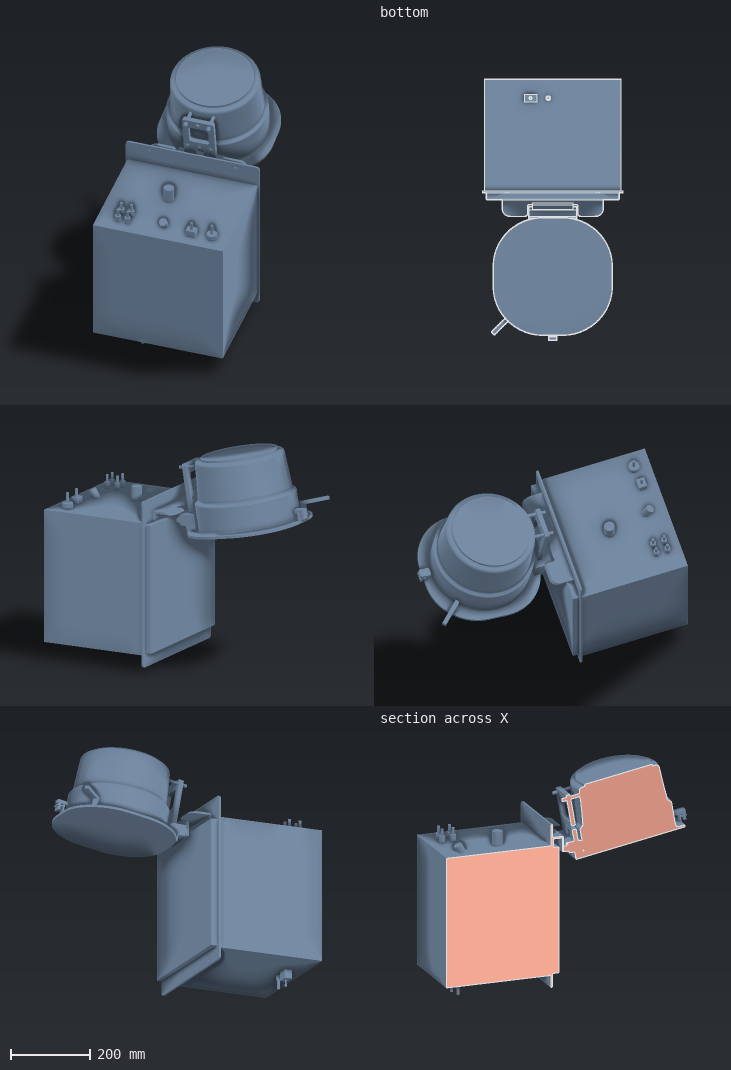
import cadquery as cq
import math


CASE_SIDE = 345.5
CASE_DEPTH = 283.0
PLATE_WIDTH = 355.5
PLATE_HEIGHT = 433.5
PLATE_THICK = 5.0
PLATE_BOTTOM = -32.0
PLATE_CORNER_R = 9.0
PLATE_HOLE_DIA = 6.0
PLATE_HOLE_X = 115.0
PLATE_HOLE_LEVELS = (-18.0, 389.0)
PANEL_MARGIN = 4.5
PANEL_THICK = 17.0
PANEL_EDGE_R = 2.0

PLATE_REAR = PLATE_THICK
PANEL_SIDE = CASE_SIDE - 2 * PANEL_MARGIN
PANEL_TOP = CASE_SIDE - PANEL_MARGIN

BRACKET_WIDTH = 256.0
BRACKET_BOTTOM = 362.0
BRACKET_THICK = 5.0
BRACKET_REACH = 65.0
BRACKET_BEVEL = 6.0
LOBE_OUTER_R = 20.5
LOBE_INNER_R = 7.0
SLOT_WIDTH = 127.0
SLOT_FRONT = 35.0
SLOT_CORNER_R = 4.0
TAB_THICK = 4.0
TAB_BOTTOM = 325.0
BACK_FLANGE_THICK = 2.5

BRACKET_TOP = BRACKET_BOTTOM + BRACKET_THICK
LOBE_LENGTH = BRACKET_REACH - SLOT_FRONT

SMALL_FITTING_X = (-117.5, -92.0)
SMALL_FITTING_Y = (-217.0, -246.5)
SMALL_FITTING_DIA = 15.0
SMALL_FITTING_HEIGHT = 18.0
STEM_DIA = 7.0
SMALL_STEM_TOP = 36.5

CHIMNEY_X = -22.5
CHIMNEY_Y = -123.5
CHIMNEY_DIA = 26.5
CHIMNEY_HEIGHT = 37.5

SPOUT_Y = -228.0
SPOUT_DIA = 21.0
SPOUT_TILT = 30
SPOUT_LENGTH = 23.0

SQUARE_FITTING_X = 76.5
SQUARE_FITTING_Y = -242.5
SQUARE_FITTING_SIZE = (26.0, 21.0, 18.0)
SQUARE_STEM_TOP = 38.0

ROUND_FITTING_X = 129.5
ROUND_FITTING_Y = -239.0
ROUND_FITTING_DIA = 28.0
ROUND_FITTING_HEIGHT = 14.0
ROUND_STEM_TOP = 40.0

FLOOR_FITTING_Y = -234.5
DRAIN_X = -56.0
DRAIN_SIZE = (32.0, 19.0, 23.0)
DRAIN_STEM_DIA = 4.0
DRAIN_TIP_DIA = 7.0
DRAIN_TIP_TOP = 34.5
DRAIN_DEPTH = 41.5
PLUG_X = -11.0
PLUG_DIA = 12.0
PLUG_DEPTH = 11.0
PLUG_STEM_DEPTH = 36.0

LID_TILT = 10
LID_CENTER = (0, 217.0, 326.5)

RIM_SIDE = 302.0
RIM_CORNER_R = 126.0
RIM_THICK = 6.5

POT_LOWER_R = 130.0
POT_FOOT_FILLET = 7.0
SHOULDER_BOTTOM = 73.0
SHOULDER_RISE = 16.0
SHOULDER_BAND = 2.5
NECK_R = 121.0
POT_TOP_R = 115.0
POT_TOP = 185.5
POT_TOP_FILLET = 10.0
CAP_R = 99.0
CAP_HEIGHT = 5.0

ARM_WIDTH = 84.0
ARM_THICK = 12.0
ARM_FRONT = -147.0
ARM_BOTTOM = 46.0
ARM_TOP = 176.5
ARM_CORNER_R = 6.0
WINDOW_WIDTH = 53.0
WINDOW_BOTTOM = 100.5
WINDOW_TOP = 151.0
WINDOW_CORNER_R = 6.5
NOTCH_WIDTH = 20.0
NOTCH_TOP = 74.5
ARM_HOLE_DIA = 9.0
ARM_LOWER_HOLE_LEVEL = 86.0
ARM_PIN_X = 30.5
ARM_PIN_DIA = 9.0
ARM_PIN_LEVEL = 166.5
ARM_PIN_FRONT = -160.5

GRIP_TOP = 36.5
GRIP_THICK = 8.5
HANDLE_INNER = 137.0
HANDLE_LEG_OUTER = 151.0
HANDLE_REACH = 214.0
HANDLE_WIDTH = 10.5
HANDLE_ANGLE = 45
LATCH_WIDTH = 21.0
LATCH_BAR_Y = (138.0, 167.0)
LATCH_BAR_CORNER_R = 5.0
LATCH_POST_Y = (146.5, 150.5)
LATCH_STRAP_Z = (20.0, 23.0)
LATCH_HOOK_Y = (157.0, 164.0)
LATCH_HOOK_BOTTOM = 10.0

HINGE_WIDTH = 121.5
HINGE_ROOT = ((90.5, 309.0), (85.0, 349.0), (80.0, 351.5))
HINGE_LIP_TOP = 349.0
HINGE_LIP_BOTTOM = 345.0
HINGE_LIP_FRONT = 41.0
HINGE_FRONT = 48.0
HINGE_NOSE_BOTTOM = 320.5
HINGE_HEEL = ((64.0, HINGE_NOSE_BOTTOM), (68.0, 304.0))
BARREL_Y = 50.0
BARREL_Z = 335.0
BARREL_DIA = 21.0
SPACER_WIDTH = 102.5
SPACER_TOP = 341.0


def centered_block(width, y_range, z_range):
    """Box of the given width, symmetric about X = 0, between the given limits in Y and Z."""
    (y0, y1), (z0, z1) = y_range, z_range
    box = cq.Workplane("XY").box(width, y1 - y0, z1 - z0, centered=(True, False, False))
    return box.translate((0, y0, z0))


def rod(x, y, dia, z0, z1):
    """Vertical cylinder between two heights."""
    return cq.Workplane("XY", origin=(x, y, z0)).circle(dia / 2).extrude(z1 - z0)


def rod_along_y(x, z, dia, y0, y1):
    """Cylinder parallel to Y, from y0 back to y1."""
    return cq.Workplane("XZ", origin=(x, y0, z)).circle(dia / 2).extrude(y0 - y1)


def make_case():
    case = centered_block(CASE_SIDE, (-CASE_DEPTH, 0), (0, CASE_SIDE))
    plate = centered_block(PLATE_WIDTH, (0, PLATE_REAR), (PLATE_BOTTOM, PLATE_BOTTOM + PLATE_HEIGHT))
    plate = plate.edges("|Y").fillet(PLATE_CORNER_R)
    for x in (-PLATE_HOLE_X, PLATE_HOLE_X):
        for z in PLATE_HOLE_LEVELS:
            plate = plate.cut(rod_along_y(x, z, PLATE_HOLE_DIA, 0, PLATE_REAR))
    panel = centered_block(PANEL_SIDE, (PLATE_REAR, PLATE_REAR + PANEL_THICK), (PANEL_MARGIN, PANEL_TOP))
    panel = panel.edges("|Y or >Y").fillet(PANEL_EDGE_R)
    return case.union(plate).union(panel)


def lobe_section(rear, z):
    """Face of one lobe, reaching back from the slot front by the length of the lobe."""
    front = rear - LOBE_LENGTH
    inner = SLOT_WIDTH / 2
    outer = BRACKET_WIDTH / 2
    return (
        cq.Workplane("XY", origin=(0, 0, z))
        .moveTo(inner, front)
        .lineTo(outer, front)
        .lineTo(outer, rear - LOBE_OUTER_R)
        .radiusArc((outer - LOBE_OUTER_R, rear), -LOBE_OUTER_R)
        .lineTo(inner + LOBE_INNER_R, rear)
        .radiusArc((inner, rear - LOBE_INNER_R), -LOBE_INNER_R)
        .close()
        .val()
    )


def make_bracket():
    """Sheet with two rounded lobes beside a slot, a tab bent down at the slot and a flange on the plate."""
    lower_section = lobe_section(BRACKET_REACH, BRACKET_BOTTOM)
    upper_section = lobe_section(BRACKET_REACH - BRACKET_BEVEL, BRACKET_TOP)
    lobe = cq.Workplane(cq.Solid.makeLoft([lower_section, upper_section], True))
    sheet = centered_block(BRACKET_WIDTH, (PLATE_REAR, SLOT_FRONT), (BRACKET_BOTTOM, BRACKET_TOP))
    sheet = sheet.union(lobe).union(lobe.mirror("YZ"))
    corner_margin = BRACKET_THICK / 4
    slot_corners = cq.selectors.BoxSelector(
        (-SLOT_WIDTH, SLOT_FRONT - corner_margin, BRACKET_BOTTOM + corner_margin),
        (SLOT_WIDTH, SLOT_FRONT + corner_margin, BRACKET_TOP - corner_margin),
    )
    sheet = sheet.edges(slot_corners).fillet(SLOT_CORNER_R)
    tab = centered_block(SPACER_WIDTH, (SLOT_FRONT - TAB_THICK, SLOT_FRONT), (TAB_BOTTOM, BRACKET_BOTTOM))
    back_flange = centered_block(
        BRACKET_WIDTH, (PLATE_REAR, PLATE_REAR + BACK_FLANGE_THICK), (PANEL_TOP, BRACKET_BOTTOM)
    )
    return sheet.union(tab).union(back_flange)


def make_roof_fittings():
    roof = CASE_SIDE
    fittings = rod(CHIMNEY_X, CHIMNEY_Y, CHIMNEY_DIA, roof, roof + CHIMNEY_HEIGHT)

    for x in SMALL_FITTING_X:
        for y in SMALL_FITTING_Y:
            fittings = fittings.union(rod(x, y, SMALL_FITTING_DIA, roof, roof + SMALL_FITTING_HEIGHT))
            fittings = fittings.union(rod(x, y, STEM_DIA, roof, roof + SMALL_STEM_TOP))

    square = cq.Workplane("XY").box(*SQUARE_FITTING_SIZE, centered=(True, True, False))
    fittings = fittings.union(square.translate((SQUARE_FITTING_X, SQUARE_FITTING_Y, roof)))
    fittings = fittings.union(
        rod(SQUARE_FITTING_X, SQUARE_FITTING_Y, STEM_DIA, roof, roof + SQUARE_STEM_TOP)
    )

    fittings = fittings.union(
        rod(ROUND_FITTING_X, ROUND_FITTING_Y, ROUND_FITTING_DIA, roof, roof + ROUND_FITTING_HEIGHT)
    )
    fittings = fittings.union(rod(ROUND_FITTING_X, ROUND_FITTING_Y, STEM_DIA, roof, roof + ROUND_STEM_TOP))

    spout = rod(0, 0, SPOUT_DIA, -SPOUT_DIA, SPOUT_LENGTH)
    spout = spout.rotate((0, 0, 0), (1, 0, 0), SPOUT_TILT).translate((0, SPOUT_Y, roof))
    return fittings.union(spout)


def make_floor_fittings():
    drain = cq.Workplane("XY").box(*DRAIN_SIZE, centered=(True, True, False))
    drain = drain.translate((DRAIN_X, FLOOR_FITTING_Y, -DRAIN_SIZE[2]))
    drain = drain.union(rod(DRAIN_X, FLOOR_FITTING_Y, DRAIN_STEM_DIA, -DRAIN_DEPTH, 0))
    drain = drain.union(rod(DRAIN_X, FLOOR_FITTING_Y, DRAIN_TIP_DIA, -DRAIN_DEPTH, -DRAIN_TIP_TOP))
    plug = rod(PLUG_X, FLOOR_FITTING_Y, PLUG_DIA, -PLUG_DEPTH, 0)
    plug = plug.union(rod(PLUG_X, FLOOR_FITTING_Y, STEM_DIA, -PLUG_STEM_DEPTH, 0))
    return drain.union(plug)


def make_housing():
    housing = make_case().union(make_bracket())
    return housing.union(make_roof_fittings()).union(make_floor_fittings())


def make_pot():
    """Square rim with large corners, and the stepped round pot on it."""
    rim = centered_block(RIM_SIDE, (-RIM_SIDE / 2, RIM_SIDE / 2), (0, RIM_THICK))
    rim = rim.edges("|Z").fillet(RIM_CORNER_R)

    shoulder_top = SHOULDER_BOTTOM + SHOULDER_RISE
    arc_rise = (SHOULDER_RISE - SHOULDER_BAND) / 2
    arc_step = (POT_LOWER_R - NECK_R - SHOULDER_BAND) / 2
    bulge = math.sin(math.radians(45))
    band_outer = (POT_LOWER_R - arc_step, SHOULDER_BOTTOM + arc_rise)
    band_inner = (NECK_R + arc_step, shoulder_top - arc_rise)
    convex_mid = (band_outer[0] + arc_step * bulge, SHOULDER_BOTTOM + arc_rise * bulge)
    concave_mid = (band_inner[0] - arc_step * bulge, shoulder_top - arc_rise * bulge)
    foot_inset = POT_FOOT_FILLET * (1 - bulge)
    top_inset = POT_TOP_FILLET * (1 - bulge)
    pot = (
        cq.Workplane("XZ")
        .moveTo(0, 0)
        .lineTo(POT_LOWER_R + POT_FOOT_FILLET, 0)
        .lineTo(POT_LOWER_R + POT_FOOT_FILLET, RIM_THICK)
        .threePointArc(
            (POT_LOWER_R + foot_inset, RIM_THICK + foot_inset),
            (POT_LOWER_R, RIM_THICK + POT_FOOT_FILLET),
        )
        .lineTo(POT_LOWER_R, SHOULDER_BOTTOM)
        .threePointArc(convex_mid, band_outer)
        .lineTo(*band_inner)
        .threePointArc(concave_mid, (NECK_R, shoulder_top))
        .lineTo(POT_TOP_R, POT_TOP - POT_TOP_FILLET)
        .threePointArc(
            (POT_TOP_R - top_inset, POT_TOP - top_inset),
            (POT_TOP_R - POT_TOP_FILLET, POT_TOP),
        )
        .lineTo(CAP_R, POT_TOP)
        .lineTo(CAP_R, POT_TOP + CAP_HEIGHT)
        .lineTo(0, POT_TOP + CAP_HEIGHT)
        .close()
        .revolve(360, (0, 0, 0), (0, 1, 0))
    )
    return rim.union(pot)


def make_arm():
    """Upright frame in front of the pot, held to it by two pins."""
    arm_rear = ARM_FRONT + ARM_THICK
    arm_depth = (ARM_FRONT, arm_rear)
    arm = centered_block(ARM_WIDTH, arm_depth, (ARM_BOTTOM, ARM_TOP))
    arm = arm.edges("|Y and >Z").fillet(ARM_CORNER_R)
    window = centered_block(WINDOW_WIDTH, arm_depth, (WINDOW_BOTTOM, WINDOW_TOP))
    arm = arm.cut(window.edges("|Y").fillet(WINDOW_CORNER_R))
    arm = arm.cut(centered_block(NOTCH_WIDTH, arm_depth, (ARM_BOTTOM, NOTCH_TOP)))
    for x, z in (
        (0, ARM_PIN_LEVEL),
        (0, ARM_LOWER_HOLE_LEVEL),
        (-ARM_PIN_X, ARM_LOWER_HOLE_LEVEL),
        (ARM_PIN_X, ARM_LOWER_HOLE_LEVEL),
    ):
        arm = arm.cut(rod_along_y(x, z, ARM_HOLE_DIA, arm_rear, ARM_FRONT))
    pin_root = -POT_TOP_R + POT_TOP_FILLET
    for x in (-ARM_PIN_X, ARM_PIN_X):
        arm = arm.union(rod_along_y(x, ARM_PIN_LEVEL, ARM_PIN_DIA, pin_root, ARM_PIN_FRONT))
    return arm


def make_handle():
    """Leg standing on the rim with a bar running outwards."""
    leg = centered_block(HANDLE_WIDTH, (HANDLE_INNER, HANDLE_LEG_OUTER), (0, GRIP_TOP))
    bar = centered_block(HANDLE_WIDTH, (HANDLE_INNER, HANDLE_REACH), (GRIP_TOP - GRIP_THICK, GRIP_TOP))
    return leg.union(bar).rotate((0, 0, 0), (0, 0, 1), HANDLE_ANGLE)


def make_latch():
    """Thin post at the rear of the rim with a rounded bar, a strap below it and a hanging hook."""
    bar = centered_block(LATCH_WIDTH, LATCH_BAR_Y, (GRIP_TOP - GRIP_THICK, GRIP_TOP))
    bar = bar.edges("|Z").fillet(LATCH_BAR_CORNER_R)
    post = centered_block(LATCH_WIDTH, LATCH_POST_Y, (0, GRIP_TOP))
    strap = centered_block(LATCH_WIDTH, (LATCH_POST_Y[0], LATCH_BAR_Y[1]), LATCH_STRAP_Z)
    hook = centered_block(LATCH_WIDTH, LATCH_HOOK_Y, (LATCH_HOOK_BOTTOM, GRIP_TOP))
    return bar.union(post).union(strap).union(hook)


def make_hinge():
    """Level block under the arm, ending in a spacer that bears on the bracket tab."""
    outline = [
        *HINGE_ROOT,
        (HINGE_LIP_FRONT, HINGE_LIP_TOP),
        (HINGE_LIP_FRONT, HINGE_LIP_BOTTOM),
        (HINGE_FRONT, HINGE_LIP_BOTTOM),
        (HINGE_FRONT, HINGE_NOSE_BOTTOM),
        *HINGE_HEEL,
    ]
    half_width = HINGE_WIDTH / 2
    hinge = cq.Workplane("YZ").polyline(outline).close().extrude(half_width, both=True)
    barrel = cq.Workplane("YZ", origin=(0, BARREL_Y, BARREL_Z)).circle(BARREL_DIA / 2)
    barrel = barrel.extrude(half_width, both=True)
    spacer = centered_block(SPACER_WIDTH, (SLOT_FRONT, BARREL_Y), (TAB_BOTTOM, SPACER_TOP))
    return hinge.union(barrel).union(spacer)


def make_lid():
    lid = make_pot().union(make_arm()).union(make_handle()).union(make_latch())
    lid = lid.rotate((0, 0, 0), (1, 0, 0), LID_TILT).translate(LID_CENTER)
    return lid.union(make_hinge())


housing = make_housing()
lid = make_lid()

result = cq.Compound.makeCompound([housing.val(), lid.val()])